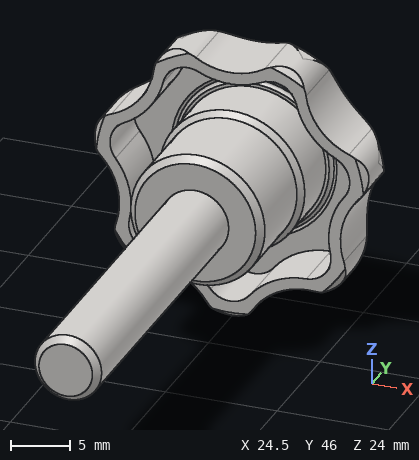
import cadquery as cq
import math

LENGTH = 46.0
LOBES = 7

GRIP_HEIGHT = 8.0
GRIP_RADIUS = 12.5
VALLEY_RADIUS = 10.3
LOBE_ROUND = 2.5
DOME_RADIUS = 34.95
SHOULDER_ROUND = 4.0
RIM_CHAMFER = 0.5

POCKET_DEPTH = 5.6
POCKET_TIP_RADIUS = 10.95
POCKET_VALLEY_RADIUS = 9.25
POCKET_LOBE_ROUND = 2.25

HUB_RADIUS = 12.0 / 2
HUB_LENGTH = 8.0
HUB_CHAMFER = 0.6
COLLAR_RADIUS = 13.0 / 2

LEDGE_RADIUS = 6.8
DISH_BED_RADIUS = 7.15
DISH_RADIUS = 7.4
DISH_DEPTH = 0.1

STUD_RADIUS = 6.0 / 2
STUD_CHAMFER = 0.6


def polar(radius, angle):
    return radius * math.cos(angle), radius * math.sin(angle)


def lobed_prism(tip_radius, valley_radius, lobe_round, height):
    """Prism from y = 0 towards +Y whose convex lobes and concave valleys meet tangentially."""
    half_pitch = math.pi / LOBES
    lobe_centre = tip_radius - lobe_round
    across = lobe_centre * math.sin(half_pitch)
    along = valley_radius - lobe_centre * math.cos(half_pitch)
    valley_round = (across**2 + along**2 - lobe_round**2) / (2 * (lobe_round - along))
    valley_centre = valley_radius + valley_round

    share = valley_round / (valley_round + lobe_round)
    tangent_across = across * share
    tangent_along = valley_centre - (valley_round + along) * share
    tangent_radius = math.hypot(tangent_across, tangent_along)
    tangent_angle = half_pitch - math.atan2(tangent_across, tangent_along)

    first_tip = -math.pi / 2
    outline = cq.Workplane("XZ").moveTo(*polar(tangent_radius, first_tip - tangent_angle))
    for lobe in range(LOBES):
        tip = first_tip + 2 * half_pitch * lobe
        next_tip = tip + 2 * half_pitch
        outline = outline.threePointArc(
            polar(tip_radius, tip), polar(tangent_radius, tip + tangent_angle)
        )
        outline = outline.threePointArc(
            polar(valley_radius, tip + half_pitch), polar(tangent_radius, next_tip - tangent_angle)
        )
    return outline.close().extrude(-height)


def revolve_about_y(profile):
    return profile.close().revolve(360, (0, 0, 0), (0, 1, 0))


def domed_blank():
    """Turned envelope of the grip: dome, rounded shoulder and chamfered rim."""
    dome_centre = GRIP_HEIGHT - DOME_RADIUS
    shoulder_x = GRIP_RADIUS - SHOULDER_ROUND
    lean = math.asin(shoulder_x / (DOME_RADIUS - SHOULDER_ROUND))
    shoulder_y = dome_centre + (DOME_RADIUS - SHOULDER_ROUND) * math.cos(lean)

    def on_dome(angle):
        return DOME_RADIUS * math.sin(angle), dome_centre + DOME_RADIUS * math.cos(angle)

    middle = (lean + math.pi / 2) / 2
    shoulder_middle = (
        shoulder_x + SHOULDER_ROUND * math.sin(middle),
        shoulder_y + SHOULDER_ROUND * math.cos(middle),
    )
    return revolve_about_y(
        cq.Workplane("XY")
        .lineTo(GRIP_RADIUS - RIM_CHAMFER, 0)
        .lineTo(GRIP_RADIUS, RIM_CHAMFER)
        .lineTo(GRIP_RADIUS, shoulder_y)
        .threePointArc(shoulder_middle, on_dome(lean))
        .threePointArc(on_dome(lean / 2), (0, GRIP_HEIGHT))
    )


def grip():
    outside = lobed_prism(GRIP_RADIUS, VALLEY_RADIUS, LOBE_ROUND, GRIP_HEIGHT)
    pocket = lobed_prism(POCKET_TIP_RADIUS, POCKET_VALLEY_RADIUS, POCKET_LOBE_ROUND, POCKET_DEPTH)
    return domed_blank().intersect(outside).cut(pocket)


def hub_and_stud():
    """Stud, hub and the wider collar, with a filleted ledge at its root."""
    stud_end = GRIP_HEIGHT - LENGTH
    root_y = (POCKET_DEPTH + GRIP_HEIGHT) / 2
    bed_y = POCKET_DEPTH + DISH_DEPTH
    fillet = DISH_BED_RADIUS - LEDGE_RADIUS
    fillet_inset = fillet * (1 - math.sqrt(0.5))
    return revolve_about_y(
        cq.Workplane("XY")
        .moveTo(0, stud_end)
        .lineTo(STUD_RADIUS - STUD_CHAMFER, stud_end)
        .lineTo(STUD_RADIUS, stud_end + STUD_CHAMFER)
        .lineTo(STUD_RADIUS, -HUB_LENGTH)
        .lineTo(HUB_RADIUS - HUB_CHAMFER, -HUB_LENGTH)
        .lineTo(HUB_RADIUS, -HUB_LENGTH + HUB_CHAMFER)
        .lineTo(HUB_RADIUS, 0)
        .lineTo(COLLAR_RADIUS, COLLAR_RADIUS - HUB_RADIUS)
        .lineTo(COLLAR_RADIUS, bed_y - fillet)
        .lineTo(LEDGE_RADIUS, bed_y - fillet)
        .threePointArc((LEDGE_RADIUS + fillet_inset, bed_y - fillet_inset), (DISH_BED_RADIUS, bed_y))
        .lineTo(DISH_BED_RADIUS, root_y)
        .lineTo(0, root_y)
    )


def floor_dish():
    """Shallow conical sink in the pocket floor around the collar."""
    return revolve_about_y(
        cq.Workplane("XY")
        .lineTo(DISH_RADIUS, 0)
        .lineTo(DISH_RADIUS, POCKET_DEPTH)
        .lineTo(DISH_BED_RADIUS, POCKET_DEPTH + DISH_DEPTH)
        .lineTo(0, POCKET_DEPTH + DISH_DEPTH)
    )


result = grip().cut(floor_dish()).union(hub_and_stud())